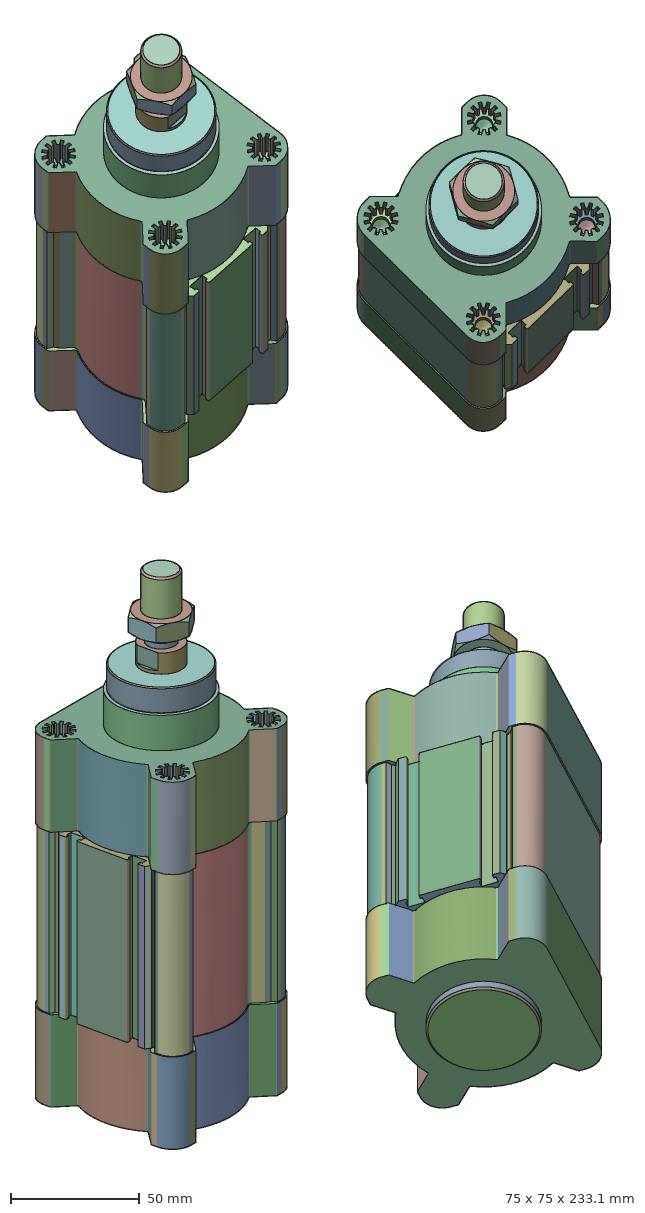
import cadquery as cq
import math

foot_height = 4.0
cap_height = 40.5
barrel_length = 80.0
collar_height = 15.5
ring_height = 11.5
overall_height = 233.1

lower_cap_z = foot_height
barrel_z = lower_cap_z + cap_height
upper_cap_z = barrel_z + barrel_length
collar_z = upper_cap_z + cap_height
ring_z = collar_z + collar_height
ring_top_z = ring_z + ring_height

cap_half = 37.5
cap_round_radius = 34.5
screw_offset = 28.25
cap_corner_radius = cap_half - screw_offset
cap_flank_shift = 12.4
cap_flank_fillet = 0.6
foot_diameter = 45.0
foot_chamfer = 0.8
ring_diameter = 42.6
ring_chamfer = 0.5

socket_inner_diameter = 8.8
socket_outer_diameter = 13.2
socket_groove_count = 12
socket_groove_width = 1.3
socket_depth = 12.0
drill_diameter = 6.65
drill_depth = 16.0
drill_angle = 118.0

barrel_half = 36.9
barrel_round_radius = 34.0
barrel_corner_radius = barrel_half - screw_offset
barrel_flank_shift = 10.6
barrel_flank_fillet = 2.0
lip_edge = 26.3
lip_wall_run = 1.4
lip_wall_depth = 2.1
flank_edge = 22.8
block_half_width = 21.2
block_chamfer = 2.0
block_inner_x = 30.0
slot_center = 15.3
slot_mouth_width = 5.2
slot_width = 7.0
slot_mouth_depth = 1.8
slot_mouth_fillet = 0.5
slot_floor_x = 32.6

rod_diameter = 20.0
rod_flats = 17.0
thread_diameter = 16.0
thread_root_diameter = 13.9
neck_diameter = 13.2
rod_top_chamfer = 0.8
rod_shoulder_z = 201.3
flats_z = 193.5
neck_top_z = 203.9
thread_root_z = 204.7
thread_z = 206.7
rod_bottom_z = upper_cap_z

nut_z = 206.8
nut_height = 8.4
nut_flats = 24.0
nut_sides = 6
nut_corner_diameter = nut_flats / math.cos(math.pi / nut_sides)
nut_chamfer_angle = 30.0

corner_signs = [(sx, sy) for sx in (-1, 1) for sy in (-1, 1)]


def disc(diameter, z, height):
    return cq.Workplane("XY").workplane(offset=z).circle(diameter / 2).extrude(height)


def box(x_low, x_high, y_low, y_high, z, height):
    center = ((x_low + x_high) / 2, (y_low + y_high) / 2)
    return (cq.Workplane("XY").workplane(offset=z).center(*center)
            .rect(x_high - x_low, y_high - y_low).extrude(height))


def flank_foot(radius, shift):
    """Point, in the first octant above the diagonal, where a lug flank meets the round body."""
    x = (math.sqrt(2 * radius**2 - shift**2) - shift) / 2
    return x, x + shift


def upright_edges(body, points):
    """Select the edge parallel to Z nearest to each of the given points."""
    selector = cq.selectors.NearestToPointSelector(points[0])
    for point in points[1:]:
        selector = cq.selectors.SumSelector(selector, cq.selectors.NearestToPointSelector(point))
    return body.edges("|Z").edges(selector)


def lug(half, corner_radius, shift, z, height):
    """Corner lug towards +X +Y with 45 degree flanks and a rounded outer corner."""
    tangent = half - corner_radius
    corner_mid = tangent + corner_radius * math.sqrt(0.5)
    return (cq.Workplane("XY").workplane(offset=z)
            .moveTo(0, shift)
            .lineTo(half - shift, half)
            .lineTo(tangent, half)
            .threePointArc((corner_mid, corner_mid), (half, tangent))
            .lineTo(half, half - shift)
            .lineTo(shift, 0)
            .lineTo(0, 0)
            .close()
            .extrude(height))


def turned_to_corner(shape, sx, sy):
    """Turn a shape made for the +X +Y corner to the corner with the given signs."""
    angle = {(1, 1): 0, (-1, 1): 90, (-1, -1): 180, (1, -1): 270}[(sx, sy)]
    return shape.rotate((0, 0, 0), (0, 0, 1), angle)


def make_cap(z):
    cap = disc(2 * cap_round_radius, z, cap_height)
    corner = lug(cap_half, cap_corner_radius, cap_flank_shift, z, cap_height)
    for sx, sy in corner_signs:
        cap = cap.union(turned_to_corner(corner, sx, sy))
    back = box(-screw_offset, screw_offset, screw_offset, cap_half, z, cap_height)
    cap = cap.union(back)

    foot_x, foot_y = flank_foot(cap_round_radius, cap_flank_shift)
    flank_ends = [(foot_x, foot_y), (cap_half - cap_flank_shift, cap_half)]
    mid_z = z + cap_height / 2
    points = []
    for side in (-1, 1):
        for small, large in flank_ends:
            points.append((side * small, -large, mid_z))
            points.append((side * large, -small, mid_z))
            points.append((side * large, small, mid_z))
    return upright_edges(cap, points).fillet(cap_flank_fillet)


def barrel_lug():
    """Barrel lug towards +X +Y, with a flat lip and a small step down to each flank."""
    tangent = barrel_half - barrel_corner_radius
    corner_mid = tangent + barrel_corner_radius * math.sqrt(0.5)
    wall_x = lip_edge - lip_wall_run
    wall_y = barrel_half - lip_wall_depth
    flank_y = flank_edge + barrel_flank_shift
    return (cq.Workplane("XY").workplane(offset=barrel_z)
            .moveTo(0, barrel_flank_shift)
            .lineTo(flank_edge, flank_y)
            .lineTo(wall_x, wall_y)
            .lineTo(lip_edge, barrel_half)
            .lineTo(tangent, barrel_half)
            .threePointArc((corner_mid, corner_mid), (barrel_half, tangent))
            .lineTo(barrel_half, lip_edge)
            .lineTo(wall_y, wall_x)
            .lineTo(flank_y, flank_edge)
            .lineTo(barrel_flank_shift, 0)
            .lineTo(0, 0)
            .close()
            .extrude(barrel_length))


def side_block(side):
    """Slotted block on the side of the barrel given by the sign of X."""
    slope_end = block_half_width + block_chamfer
    slope_x = barrel_half - block_chamfer
    block = (cq.Workplane("XY").workplane(offset=barrel_z)
             .moveTo(block_inner_x, -block_half_width)
             .lineTo(slope_x, -slope_end)
             .lineTo(barrel_half, -block_half_width)
             .lineTo(barrel_half, block_half_width)
             .lineTo(slope_x, slope_end)
             .lineTo(block_inner_x, block_half_width)
             .close()
             .extrude(barrel_length))
    if side < 0:
        block = block.mirror("YZ")
    return block


def sensor_slot(side, y):
    """T-slot cutter running the length of the barrel."""
    neck_x = barrel_half - slot_mouth_depth
    mouth = box(slot_floor_x, barrel_half, y - slot_mouth_width / 2, y + slot_mouth_width / 2,
                barrel_z, barrel_length)
    undercut = box(slot_floor_x, neck_x, y - slot_width / 2, y + slot_width / 2,
                   barrel_z, barrel_length)
    slot = mouth.union(undercut)
    if side < 0:
        slot = slot.mirror("YZ")
    return slot


def make_barrel():
    barrel = disc(2 * barrel_round_radius, barrel_z, barrel_length)
    corner = barrel_lug()
    for sx, sy in corner_signs:
        barrel = barrel.union(turned_to_corner(corner, sx, sy))
    foot_x, foot_y = flank_foot(barrel_round_radius, barrel_flank_shift)
    mid_z = barrel_z + barrel_length / 2
    feet = [(-foot_x, -foot_y, mid_z), (foot_x, -foot_y, mid_z)]
    barrel = upright_edges(barrel, feet).fillet(barrel_flank_fillet)
    barrel = barrel.union(box(-screw_offset, screw_offset, screw_offset, barrel_half,
                              barrel_z, barrel_length))
    for side in (-1, 1):
        barrel = barrel.union(side_block(side))
        for y in (-slot_center, slot_center):
            barrel = barrel.cut(sensor_slot(side, y))
    mouth_edges = []
    for side in (-1, 1):
        for y in (-slot_center, slot_center):
            for edge in (-1, 1):
                mouth_edges.append((side * barrel_half, y + edge * slot_mouth_width / 2, mid_z))
    return upright_edges(barrel, mouth_edges).fillet(slot_mouth_fillet)


def screw_socket(x, y):
    """Splined socket with a drill-pointed hole in its floor."""
    floor_z = collar_z - socket_depth
    shoulder_z = collar_z - drill_depth
    tip_z = shoulder_z - drill_diameter / 2 / math.tan(math.radians(drill_angle / 2))
    profile = [
        (0, collar_z),
        (socket_inner_diameter / 2, collar_z),
        (socket_inner_diameter / 2, floor_z),
        (drill_diameter / 2, floor_z),
        (drill_diameter / 2, shoulder_z),
        (0, tip_z),
    ]
    cutter = cq.Workplane("XZ").polyline(profile).close().revolve(360, (0, 0), (0, 1))
    groove = box(0, socket_outer_diameter / 2, -socket_groove_width / 2, socket_groove_width / 2,
                 floor_z, socket_depth)
    for i in range(socket_groove_count):
        angle = 360 / socket_groove_count * i
        cutter = cutter.union(groove.rotate((0, 0, 0), (0, 0, 1), angle))
    return cutter.translate((x, y, 0))


def make_housing():
    foot = disc(foot_diameter, 0, foot_height).faces("<Z").chamfer(foot_chamfer)
    collar = disc(foot_diameter, collar_z, collar_height)
    ring = disc(ring_diameter, ring_z, ring_height).edges().chamfer(ring_chamfer)
    body = foot.union(make_cap(lower_cap_z))
    body = body.union(make_barrel())
    body = body.union(make_cap(upper_cap_z))
    body = body.union(collar).union(ring)
    for sx, sy in corner_signs:
        body = body.cut(screw_socket(sx * screw_offset, sy * screw_offset))
    rod_bore = disc(rod_diameter, rod_bottom_z, ring_top_z - rod_bottom_z)
    return body.cut(rod_bore)


def make_rod():
    """Turned rod with a necked thread and two wrench flats facing X."""
    profile = [
        (0, rod_bottom_z),
        (rod_diameter / 2, rod_bottom_z),
        (rod_diameter / 2, rod_shoulder_z),
        (neck_diameter / 2, rod_shoulder_z),
        (neck_diameter / 2, neck_top_z),
        (thread_root_diameter / 2, neck_top_z),
        (thread_root_diameter / 2, thread_root_z),
        (thread_diameter / 2, thread_z),
        (thread_diameter / 2, overall_height - rod_top_chamfer),
        (thread_diameter / 2 - rod_top_chamfer, overall_height),
        (0, overall_height),
    ]
    rod = cq.Workplane("XZ").polyline(profile).close().revolve(360, (0, 0), (0, 1))
    radius = rod_diameter / 2
    for low, high in ((-radius, -rod_flats / 2), (rod_flats / 2, radius)):
        rod = rod.cut(box(low, high, -radius, radius, flats_z, rod_shoulder_z - flats_z))
    return rod


def make_nut():
    """Hexagon nut with flats facing X and both ends turned to a cone."""
    hexagon = (cq.Workplane("XY").workplane(offset=nut_z)
               .polygon(nut_sides, nut_corner_diameter).extrude(nut_height)
               .rotate((0, 0, 0), (0, 0, 1), 180 / nut_sides))
    corner_radius = nut_corner_diameter / 2
    face_radius = nut_flats / 2
    drop = (corner_radius - face_radius) * math.tan(math.radians(nut_chamfer_angle))
    top_z = nut_z + nut_height
    profile = [
        (0, nut_z),
        (face_radius, nut_z),
        (corner_radius, nut_z + drop),
        (corner_radius, top_z - drop),
        (face_radius, top_z),
        (0, top_z),
    ]
    envelope = cq.Workplane("XZ").polyline(profile).close().revolve(360, (0, 0), (0, 1))
    return hexagon.intersect(envelope).cut(disc(thread_diameter, nut_z, nut_height))


housing = make_housing()
piston_rod = make_rod()
lock_nut = make_nut()

result = cq.Compound.makeCompound([housing.val(), piston_rod.val(), lock_nut.val()])